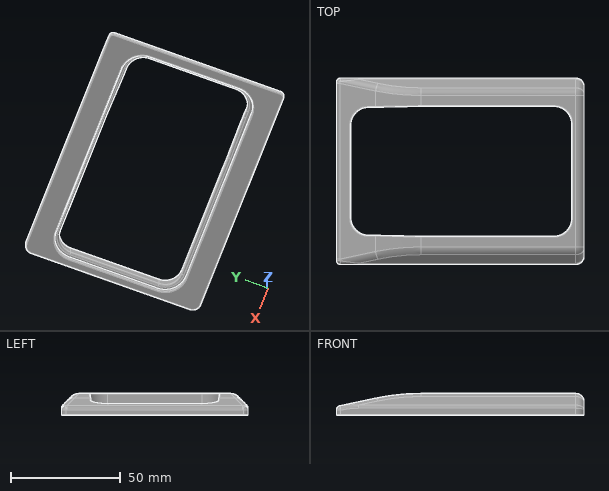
import cadquery as cq
import math

length = 112.8
width = 85.0
height = 10.0
wall_height = 4.1
bevel_angle = 45.0
ramp_angle = 12.0
ramp_blend_radius = 100.0

crest_radius = 5.0
high_end_radius = 4.0
rim_radius = 2.0
base_radius = 0.5

window_x_min = 6.7
window_x_max = 107.1
window_width = 59.0
window_low_width = 58.1
window_corner_radius = 8.0
window_edge_radius = 0.5

rebate_margin = 2.0
rebate_depth = 3.0
rebate_lip_radius = 1.0

PICK_MARGIN = 0.1


ramp_slope = math.radians(ramp_angle)
knee_x = (height - wall_height) / math.tan(ramp_slope)
blend_tangent = ramp_blend_radius * math.tan(ramp_slope / 2)
ramp_end_x = knee_x - blend_tangent * math.cos(ramp_slope)
flat_start_x = knee_x + blend_tangent


def ramped_slab(slab_width):
    """Side profile: upright low end, ramp, blend arc and flat top."""
    ramp_end_z = height - blend_tangent * math.sin(ramp_slope)
    blend_mid = (
        flat_start_x - ramp_blend_radius * math.sin(ramp_slope / 2),
        height - ramp_blend_radius * (1 - math.cos(ramp_slope / 2)),
    )
    return (
        cq.Workplane("XZ")
        .lineTo(0, wall_height)
        .lineTo(ramp_end_x, ramp_end_z)
        .threePointArc(blend_mid, (flat_start_x, height))
        .lineTo(length, height)
        .lineTo(length, 0)
        .close()
        .extrude(slab_width / 2, both=True)
    )


def bevel_prism():
    """Trapezoid along X whose slanted sides carry the bevels."""
    slope = math.tan(math.radians(bevel_angle))
    base_half = width / 2 + wall_height / slope
    top_half = width / 2 - (height - wall_height) / slope
    return (
        cq.Workplane("YZ")
        .polyline([(-base_half, 0), (base_half, 0), (top_half, height), (-top_half, height)])
        .close()
        .extrude(length)
    )


def edges_within(body, low, high):
    """Edges of the body that lie entirely inside the box from low to high."""
    return body.edges(cq.selectors.BoxSelector(low, high, boundingbox=True))


def upper_edges(body, x_range, y_range):
    """Edges in the given plan region that rise above the base rounding."""
    low = (x_range[0] - PICK_MARGIN, y_range[0] - PICK_MARGIN, -PICK_MARGIN)
    high = (x_range[1] + PICK_MARGIN, y_range[1] + PICK_MARGIN, height + PICK_MARGIN)
    return edges_within(body, low, high).filter(lambda edge: edge.Center().z > base_radius)


def runs_along_x(edge):
    return edge.BoundingBox().xlen > PICK_MARGIN


def is_upright(edge):
    box = edge.BoundingBox()
    return box.xlen < PICK_MARGIN and box.ylen < PICK_MARGIN


def round_end_corners(cutter, radius):
    """Round the upright edges at the low and high ends of a cutter."""
    return cutter.faces("<X or >X").edges("|Z").fillet(radius)


def window_cutter():
    """Window outline, slightly narrower beside the ramp than beside the flat top."""
    low_half = window_low_width / 2
    high_half = window_width / 2
    side = [
        (window_x_min, low_half),
        (ramp_end_x, low_half),
        (flat_start_x, high_half),
        (window_x_max, high_half),
    ]
    other_side = [(x, -y) for x, y in reversed(side)]
    cutter = cq.Workplane("XY").polyline(side + other_side).close().extrude(height)
    return round_end_corners(cutter, window_corner_radius)


def rebate_cutter():
    """Rectangle a margin larger than the window, sunk into the underside."""
    cutter = (
        cq.Workplane("XY")
        .center((window_x_min + window_x_max) / 2, 0)
        .rect(window_x_max - window_x_min + 2 * rebate_margin, window_width + 2 * rebate_margin)
        .extrude(rebate_depth)
    )
    return round_end_corners(cutter, window_corner_radius + rebate_margin)


half_width = width / 2
full_x = (0, length)
full_y = (-half_width, half_width)

body = ramped_slab(2 * width).intersect(bevel_prism())
crests = upper_edges(body, full_x, (-width, width)).filter(runs_along_x)
body = body.newObject(crests.vals()).fillet(crest_radius)
body = body.intersect(cq.Workplane("XY").box(length, width, height, centered=(False, True, False)))

high_end = upper_edges(body, (length, length), full_y)
body = body.newObject(high_end.vals()).fillet(high_end_radius)

low_end = upper_edges(body, (0, 0), full_y)
near_side = upper_edges(body, full_x, (-half_width, -half_width)).filter(runs_along_x)
far_side = upper_edges(body, full_x, (half_width, half_width)).filter(runs_along_x)
rim = low_end.vals() + near_side.vals() + far_side.vals()
body = body.newObject(rim).fillet(rim_radius)

body = body.cut(window_cutter())
window_half = window_width / 2
window_x = (window_x_min, window_x_max)
window_y = (-window_half, window_half)
window_edges = upper_edges(body, window_x, window_y).filter(lambda edge: not is_upright(edge))
body = body.newObject(window_edges.vals()).fillet(window_edge_radius)

body = body.cut(rebate_cutter())
lip = edges_within(
    body,
    (window_x_min - PICK_MARGIN, -window_half - PICK_MARGIN, rebate_depth - PICK_MARGIN),
    (window_x_max + PICK_MARGIN, window_half + PICK_MARGIN, rebate_depth + PICK_MARGIN),
)
body = lip.fillet(rebate_lip_radius)

result = body.faces("<Z").edges().fillet(base_radius)